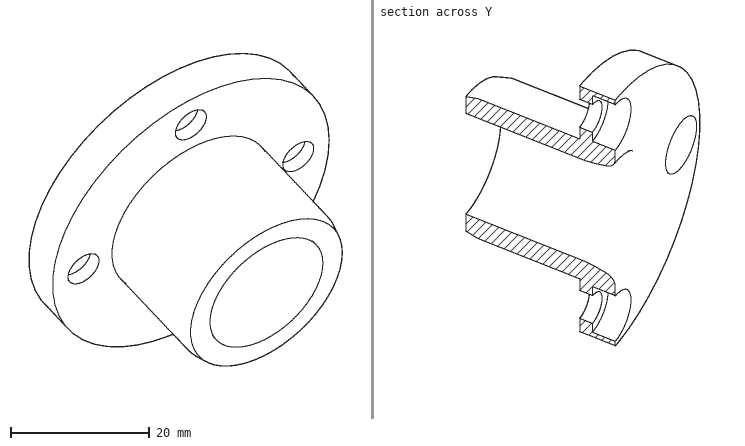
import cadquery as cq
import math

flange_diameter = 49.0
flange_thickness = 6.0
total_length = 25.0
sleeve_diameter = 28.0
tip_length = 2.0
tip_angle = 15.0

bore_diameter = 20.0
mouth_radius = 2.0
lead_in_depth = 5.0
lead_in_angle = 10.0

bolt_count = 4
bolt_circle_diameter = 38.0
bolt_hole_diameter = 5.5
counterbore_diameter = 9.0
counterbore_depth = 3.8

flange_radius = flange_diameter / 2
sleeve_radius = sleeve_diameter / 2
bore_radius = bore_diameter / 2
tip_radius = sleeve_radius - tip_length * math.tan(math.radians(tip_angle))

lead_in_slope = math.radians(lead_in_angle)
throat_depth = mouth_radius * (1 - math.sin(lead_in_slope))
throat_radius = bore_radius + (lead_in_depth - throat_depth) * math.tan(lead_in_slope)
mouth_outer_radius = throat_radius + mouth_radius * math.cos(lead_in_slope)


def flanged_sleeve():
    """Revolve the half section, drawn with X along the axis and Y as radius."""
    arc_middle_angle = (math.pi / 2 + lead_in_slope) / 2
    arc_middle = (
        mouth_radius * (1 - math.sin(arc_middle_angle)),
        mouth_outer_radius - mouth_radius * math.cos(arc_middle_angle),
    )
    return (
        cq.Workplane("XY")
        .moveTo(0, mouth_outer_radius)
        .lineTo(0, flange_radius)
        .lineTo(flange_thickness, flange_radius)
        .lineTo(flange_thickness, sleeve_radius)
        .lineTo(total_length - tip_length, sleeve_radius)
        .lineTo(total_length, tip_radius)
        .lineTo(total_length, bore_radius)
        .lineTo(lead_in_depth, bore_radius)
        .lineTo(throat_depth, throat_radius)
        .threePointArc(arc_middle, (0, mouth_outer_radius))
        .close()
        .revolve(360, (0, 0, 0), (1, 0, 0))
    )


def cut_bolt_holes(body):
    """Cut evenly spaced holes, counterbored from the flange face."""
    return (
        body.faces("<X")
        .workplane(origin=(0, 0, 0))
        .polarArray(bolt_circle_diameter / 2, 0, 360, bolt_count)
        .cboreHole(bolt_hole_diameter, counterbore_diameter, counterbore_depth, flange_thickness)
    )


result = cut_bolt_holes(flanged_sleeve())